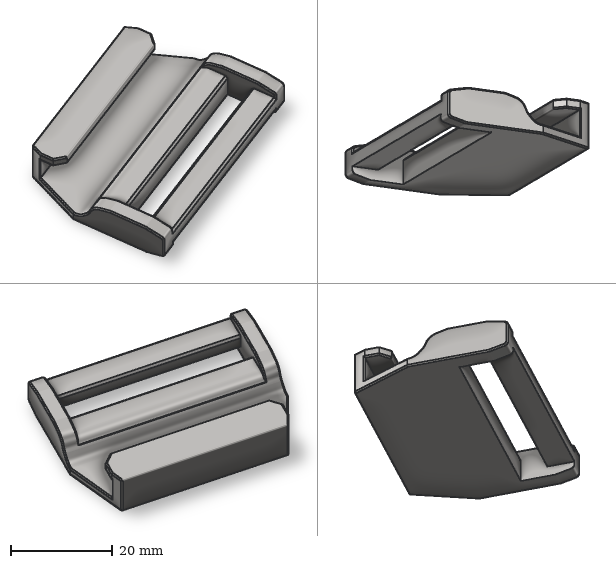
import cadquery as cq
import math

length = 33.5
width = 47.0
hook_height = 9.5

floor_thickness = 2.0
wall_thickness = 2.5
lip_thickness = 2.0
lip_reach = 7.5
lip_corner = 2.0
front_half_width = 18.0

cheek_height = 7.5
cheek_thickness = 3.5
cheek_flat_start_x = 21.0
cheek_flat_end_x = 29.1
cheek_slope = 13.0
underside_end_x = 29.6
outline_radius = 1.0

ramp_start_x = 12.75
ramp_slope = 45.0
ramp_steepest_slope = 70.0
ramp_straight_end_z = 3.55
ramp_foot_radius = 3.0
ramp_upper_radius = 3.4

bar_top_z = 5.4
bar_nose_radius = 3.0
bar_nose_slope = 58.0
bar_flat_start_x = 18.6
bar_chamfer = 0.5
slot_start_x = 22.4
slot_end_x = 27.9
rear_bar_bottom_z = 2.3

edge_break = 0.3
hook_edge_radius = 0.5

tolerance = 0.01

half_width = width / 2
inner_half_width = half_width - cheek_thickness
lip_bottom_z = hook_height - lip_thickness
taper_gradient = (half_width - front_half_width) / ramp_start_x
lip_half_width = front_half_width + taper_gradient * wall_thickness
tail_drop = math.tan(math.radians(cheek_slope))


def arc_by_slope(sketch, start, slope_start, slope_end, radius):
    """Add a rising arc whose tangent turns between two slopes; return the sketch and the arc's end."""

    def point_at(slope):
        turn = 1 if slope_end > slope_start else -1
        a = math.radians(slope_start)
        b = math.radians(slope)
        return (
            start[0] + turn * radius * (math.sin(b) - math.sin(a)),
            start[1] + turn * radius * (math.cos(a) - math.cos(b)),
        )

    end = point_at(slope_end)
    middle = point_at((slope_start + slope_end) / 2)
    return sketch.threePointArc(middle, end), end


def symmetric_plate(half_outline, thickness):
    """Plate standing on Z = 0, from the +Y half of an outline mirrored in the XZ plane."""
    mirrored = [(x, -y) for x, y in reversed(half_outline)]
    return cq.Workplane("XY").polyline(half_outline + mirrored).close().extrude(thickness)


def base_block():
    """Side profile of floor, ramp and cheeks over the full width, with the front corners tapered off."""
    foot = (ramp_start_x, floor_thickness)
    sketch = cq.Workplane("XZ").moveTo(0, 0).lineTo(0, floor_thickness).lineTo(*foot)
    sketch, foot_end = arc_by_slope(sketch, foot, 0, ramp_slope, ramp_foot_radius)
    rise = ramp_straight_end_z - foot_end[1]
    bend = (foot_end[0] + rise / math.tan(math.radians(ramp_slope)), ramp_straight_end_z)
    sketch = sketch.lineTo(*bend)
    sketch, crest = arc_by_slope(sketch, bend, ramp_slope, ramp_steepest_slope, ramp_upper_radius)
    sketch, _ = arc_by_slope(sketch, crest, ramp_steepest_slope, cheek_slope, ramp_upper_radius)
    block = (
        sketch.lineTo(cheek_flat_start_x, cheek_height)
        .lineTo(cheek_flat_end_x, cheek_height)
        .lineTo(length, cheek_height - (length - cheek_flat_end_x) * tail_drop)
        .lineTo(length, (length - underside_end_x) * tail_drop)
        .lineTo(underside_end_x, 0)
        .close()
        .extrude(half_width, both=True)
    )
    top_and_tail = cq.selectors.BoxSelector(
        (cheek_flat_start_x - edge_break, -width, -edge_break),
        (length + edge_break, width, hook_height),
    )
    block = block.edges("|Y").edges(top_and_tail).fillet(outline_radius)
    taper = symmetric_plate(
        [(0, front_half_width), (ramp_start_x, half_width), (length, half_width)],
        hook_height,
    )
    return block.intersect(taper)


def wall():
    """Upright front wall, tapered like the floor."""
    return symmetric_plate(
        [(0, front_half_width), (wall_thickness, lip_half_width)],
        hook_height,
    )


def lip():
    """Lip with clipped corners; its root fills the top of the wall."""
    plate = symmetric_plate(
        [
            (0, front_half_width),
            (wall_thickness, lip_half_width),
            (lip_reach - lip_corner, lip_half_width),
            (lip_reach, lip_half_width - lip_corner),
        ],
        lip_thickness,
    )
    return plate.translate((0, 0, lip_bottom_z))


def above_bars():
    """Everything above the bars, across the full width."""
    slope = math.radians(bar_nose_slope)
    start = (
        bar_flat_start_x - bar_nose_radius * math.sin(slope),
        bar_top_z - bar_nose_radius * (1 - math.cos(slope)),
    )
    sketch = cq.Workplane("XZ").moveTo(*start)
    sketch, _ = arc_by_slope(sketch, start, bar_nose_slope, 0, bar_nose_radius)
    return (
        sketch.lineTo(length - bar_chamfer, bar_top_z)
        .lineTo(length, bar_top_z - bar_chamfer)
        .lineTo(length, hook_height)
        .lineTo(start[0], hook_height)
        .close()
        .extrude(half_width, both=True)
    )


def strap_slot():
    """Slot between the bars, flared at the top and open below the rear bar."""
    flare_z = bar_top_z - bar_chamfer
    return (
        cq.Workplane("XZ")
        .moveTo(slot_start_x, 0)
        .lineTo(slot_start_x, flare_z)
        .lineTo(slot_start_x - bar_chamfer, bar_top_z)
        .lineTo(slot_end_x + bar_chamfer, bar_top_z)
        .lineTo(slot_end_x, flare_z)
        .lineTo(slot_end_x, rear_bar_bottom_z)
        .lineTo(length, rear_bar_bottom_z)
        .lineTo(length, 0)
        .close()
        .extrude(inner_half_width, both=True)
    )


def lies_at(box, positions):
    """True if a bounding box is flat in X and lies at one of the given X positions."""
    return any(max(abs(box.xmin - x), abs(box.xmax - x)) < tolerance for x in positions)


def break_edges(solid, rounded_positions, upright_positions):
    """Round the edges along Y and bevel the uprights at the given X positions, and bevel the sides."""

    def runs_along_y(box):
        return max(box.xlen, box.zlen) < tolerance

    def is_rounded(edge):
        box = edge.BoundingBox()
        return runs_along_y(box) and lies_at(box, rounded_positions)

    def is_bevelled(edge):
        box = edge.BoundingBox()
        is_upright = max(box.xlen, box.ylen) < tolerance
        if is_upright:
            return lies_at(box, upright_positions)
        return not runs_along_y(box)

    bevelled = solid.edges().filter(is_bevelled).chamfer(edge_break)
    return bevelled.edges().filter(is_rounded).fillet(hook_edge_radius)


def cheek(frame, side):
    """End piece of the frame on one side, with its inner face bevelled all round."""
    inner_face = ">Y" if side < 0 else "<Y"
    slab = cq.Workplane("XY").box(
        length - ramp_start_x, cheek_thickness, cheek_height, centered=(False, True, False)
    )
    slab = slab.translate((ramp_start_x, side * (half_width - cheek_thickness / 2), 0))
    return frame.intersect(slab).faces(inner_face).edges().chamfer(edge_break)


frame = break_edges(base_block().union(wall()), [0], [0, wall_thickness, length])
frame = frame.union(break_edges(lip(), [0, lip_reach], [0]))
result = frame.cut(above_bars())
for side in (-1, 1):
    result = result.union(cheek(frame, side))
result = result.cut(strap_slot())